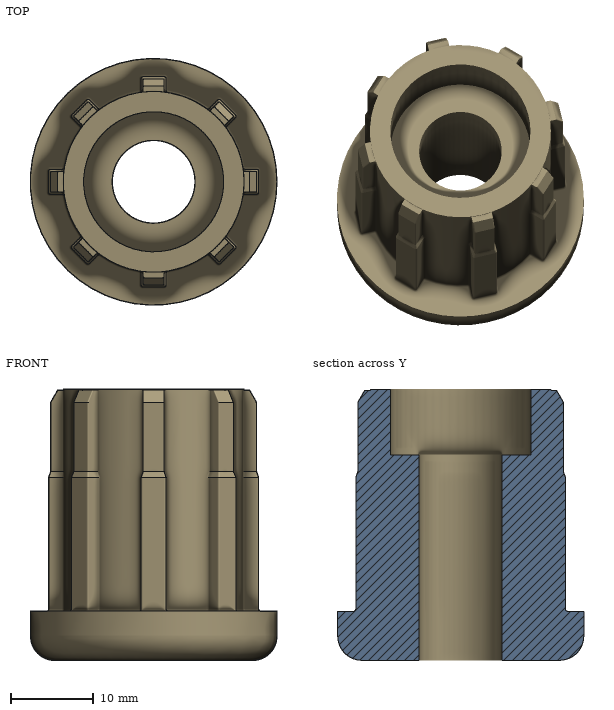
import cadquery as cq
import math

height = 33.0
flange_diameter = 30.0
flange_radius = flange_diameter / 2
flange_height = 6.0
flange_edge_fillet = 3.0
body_radius = 11.0

hole_radius = 5.0
bore_radius = 8.5
bore_depth = 8.0

rib_count = 8
rib_root = 9.9
lower_reach = 12.77
lower_width = 3.05
lower_edge_fillet = 0.23
lower_root_fillet = 0.25
step_inset = 0.25
step_bottom = 22.25
step_top = 22.97
upper_reach = lower_reach - step_inset
upper_width = lower_width - 2 * step_inset
upper_edge_fillet = 0.13
upper_root_fillet = 0.13
rib_drop = 0.13
rib_top = height - rib_drop
tip_setback = 0.85
tip_angle = 30
tip_bottom = rib_top - tip_setback / math.tan(math.radians(tip_angle))

foot_fillet = 0.25


def rib_section(plane, reach, width, edge_fillet, root_fillet):
    """Closed rib outline: rounded outer corners, sides flaring tangentially into the body."""
    side = width / 2

    center_y = side + root_fillet
    center_distance = body_radius + root_fillet
    center_angle = math.asin(center_y / center_distance)
    center_x = center_distance * math.cos(center_angle)
    touch_x = body_radius * math.cos(center_angle)
    touch_y = body_radius * math.sin(center_angle)
    flare_angle = (center_angle - 3 * math.pi / 2) / 2
    flare_x = center_x + root_fillet * math.cos(flare_angle)
    flare_y = center_y + root_fillet * math.sin(flare_angle)

    corner_x = reach - edge_fillet
    corner_y = side - edge_fillet
    bulge = edge_fillet * math.sqrt(0.5)
    return (
        plane.moveTo(rib_root, -touch_y)
        .lineTo(touch_x, -touch_y)
        .threePointArc((flare_x, -flare_y), (center_x, -side))
        .lineTo(corner_x, -side)
        .threePointArc((corner_x + bulge, -corner_y - bulge), (reach, -corner_y))
        .lineTo(reach, corner_y)
        .threePointArc((corner_x + bulge, corner_y + bulge), (corner_x, side))
        .lineTo(center_x, side)
        .threePointArc((flare_x, flare_y), (touch_x, touch_y))
        .lineTo(rib_root, touch_y)
        .close()
    )


def lower_section(plane):
    return rib_section(plane, lower_reach, lower_width, lower_edge_fillet, lower_root_fillet)


def upper_section(plane):
    return rib_section(plane, upper_reach, upper_width, upper_edge_fillet, upper_root_fillet)


def level(z):
    """Horizontal workplane at the given height."""
    return cq.Workplane("XY", origin=(0, 0, z))


def make_lower_rib():
    return lower_section(level(flange_height)).extrude(step_bottom - flange_height)


def make_step():
    low = lower_section(level(step_bottom))
    return upper_section(low.workplane(offset=step_top - step_bottom)).loft(ruled=True)


def make_upper_rib():
    profile = [
        (rib_root, step_top),
        (upper_reach, step_top),
        (upper_reach, tip_bottom),
        (upper_reach - tip_setback, rib_top),
        (rib_root, rib_top),
    ]
    bar = cq.Workplane("XZ").polyline(profile).close().extrude(upper_width / 2, both=True)
    outer_edges = bar.faces(">X").edges("|Z").vals()
    tip_edges = bar.edges("(not |X) and (not |Y) and (not |Z)").vals()
    bar = bar.newObject(outer_edges + tip_edges).fillet(upper_edge_fillet)

    upper_length = rib_top - step_top
    near_body = level(step_top).circle(body_radius + upper_root_fillet).extrude(upper_length)
    root = upper_section(level(step_top)).extrude(upper_length).intersect(near_body)
    return bar.union(root)


def make_sleeve():
    """Round body with evenly spaced ribs."""
    sleeve = level(flange_height).circle(body_radius).extrude(height - flange_height)
    rib = make_lower_rib().union(make_step()).union(make_upper_rib())
    for index in range(rib_count):
        sleeve = sleeve.union(rib.rotate((0, 0, 0), (0, 0, 1), index * 360 / rib_count))
    return sleeve


def make_flange():
    """Disc with a rounded underside."""
    flange = level(0).circle(flange_radius).extrude(flange_height)
    return flange.faces("<Z").edges().fillet(flange_edge_fillet)


def fillet_foot(part):
    """Round the inside corner along the sleeve outline on top of the flange."""
    flange_top = part.faces("+Z").faces("<Z").val()
    foot_edges = flange_top.innerWires()[0].Edges()
    return part.newObject(foot_edges).fillet(foot_fillet)


result = fillet_foot(make_flange().union(make_sleeve()))

result = result.cut(level(0).circle(hole_radius).extrude(height))
result = result.cut(level(height).circle(bore_radius).extrude(-bore_depth))